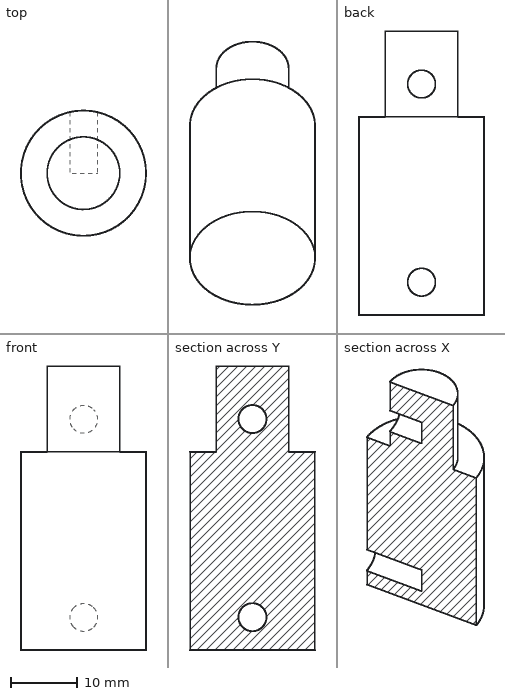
import cadquery as cq

total_height = 43.0
body_diameter = 19.0
body_height = 30.0
pin_diameter = 11.0
pin_height = total_height - body_height

hole_diameter = 4.2
body_hole_height = 5.0
pin_hole_height = 35.0


def radial_hole(height, shaft_diameter):
    """Cutter running from the shaft axis out through its +Y surface."""
    return (
        cq.Workplane("XZ", origin=(0, 0, height))
        .circle(hole_diameter / 2)
        .extrude(-shaft_diameter)
    )


body = cq.Workplane("XY").circle(body_diameter / 2).extrude(body_height)
pin = (
    cq.Workplane("XY", origin=(0, 0, body_height))
    .circle(pin_diameter / 2)
    .extrude(pin_height)
)

result = (
    body.union(pin)
    .cut(radial_hole(body_hole_height, body_diameter))
    .cut(radial_hole(pin_hole_height, pin_diameter))
)